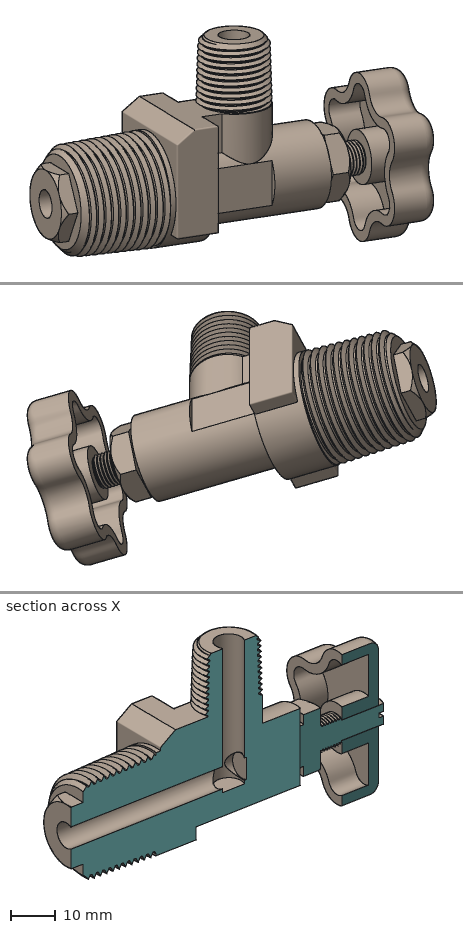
import cadquery as cq
import math


PIPE_TAPER = math.degrees(math.atan(1 / 32))
THREAD_OVERRUN = 0.75
FOOT_DEPTH_FACTOR = 1.15
CORE_SEAM_TURN = 180
ENVELOPE_SEAM_TURN = 90
FLANK_SLOPE = math.tan(math.radians(30))

BARREL_D = 20.1
BARREL_BACK = 19.3
FLAT_BACK = 5.2
OUTLET_D = 17.145
FLAT_WIDTH = OUTLET_D
WEB_WIDTH = 12.2
BLOCK_WIDTH = 28.0
BLOCK_TOP = 17.1
BLOCK_BOTTOM = -8.0
BLOCK_BACK = -10.7
BLOCK_FRONT = -21.1
BLOCK_CHAMFER_Y = 4.3
BLOCK_CHAMFER_Z = 3.0
BLOCK_ROUND = 0.35

INLET_D = 26.67
INLET_COLLAR = 1.3
INLET_END = -43.5
INLET_PITCH = 25.4 / 14
INLET_DEPTH = 1.2
INLET_END_D = 21.6
INLET_PHASE = 0.2

OUTLET_TOP = 33.0
OUTLET_PITCH = 25.4 / 18
OUTLET_DEPTH = 1.0
OUTLET_END_D = 13.4
OUTLET_PHASE = 0.5

INLET_BORE_D = 6.46
OUTLET_BORE_D = 7.07
BORE_OVERSHOOT = 0.2

HEX_FLATS = 15.875
INLET_HEX_HEIGHT = 3.5
GLAND_HEX_HEIGHT = 5.0

NECK_D = 11.27
GLAND_FRONT = 20.2
SPINDLE_D = 7.92
SPINDLE_ROOT_D = 6.79
SPINDLE_PITCH = 25.4 / 32
SPINDLE_PHASE = 0.0
STEM_D = 6.33
OVERALL_LENGTH = 90.35
STEM_BACK = INLET_END - INLET_HEX_HEIGHT + OVERALL_LENGTH
SLOT_WIDTH = 1.1
SLOT_DEPTH = 1.2

WHEEL_FRONT = 31.25
WHEEL_BACK = 42.0
WHEEL_LOBES = 6
WHEEL_R = 19.62
LOBE_R = 5.5
LOBE_CENTER_R = WHEEL_R - LOBE_R
VALLEY_R = 5.5
WHEEL_WALL = 2.5
WHEEL_FLOOR = 3.0
WHEEL_ROUND = 2.6
HUB_D = 12.5

LOBE_ANGLE = 360 / WHEEL_LOBES


def along_y(shape, y, forward):
    """Turn a workplane built along +Z onto the Y axis, growing towards -Y or +Y from y."""
    turn = 90 if forward else -90
    return shape.rotate((0, 0, 0), (1, 0, 0), turn).translate((0, y, 0))


def revolved(points):
    """A solid of revolution about Z, from (radius, z) points."""
    return cq.Workplane("XZ").polyline(points).close().revolve(360, (0, 0, 0), (0, 1, 0))


def threaded_stub(base_d, depth, pitch, length, taper, end_d, phase):
    """A right-hand threaded stub from z = 0 to length with a chamfered end; phase turns its start."""
    base_r = base_d / 2
    shrink = math.tan(math.radians(taper))
    overrun = THREAD_OVERRUN * pitch
    bottom = -overrun - pitch
    top = length + overrun + pitch
    root_r = base_r - depth
    core = revolved([
        (0, bottom), (root_r - bottom * shrink, bottom), (root_r - top * shrink, top), (0, top)
    ])

    crest_r = base_r + overrun * shrink
    foot_depth = FOOT_DEPTH_FACTOR * depth
    foot_half_width = foot_depth * FLANK_SLOPE
    helix_length = length + 2 * overrun
    if taper:
        path = cq.Wire.makeHelix(pitch, helix_length, crest_r, angle=-taper)
    else:
        path = cq.Wire.makeHelix(pitch, helix_length, crest_r)
    ridge = (
        cq.Workplane("XZ")
        .polyline([
            (crest_r, 0), (crest_r - foot_depth, foot_half_width), (crest_r - foot_depth, -foot_half_width)
        ])
        .close()
        .sweep(cq.Workplane(path), isFrenet=True)
        .translate((0, 0, -overrun))
    )

    outer_r = base_r + depth
    end_r = end_d / 2
    chamfer_start = length - (outer_r - end_r)
    envelope = revolved([(0, 0), (outer_r, 0), (outer_r, chamfer_start), (end_r, length), (0, length)])
    core = core.rotate((0, 0, 0), (0, 0, 1), CORE_SEAM_TURN)
    envelope = envelope.rotate((0, 0, 0), (0, 0, 1), ENVELOPE_SEAM_TURN)
    stub = core.union(ridge, clean=False).intersect(envelope, clean=False)
    return stub.rotate((0, 0, 0), (0, 0, 1), phase * 360)


def hexagon(height):
    """A hexagon from z = 0 to height, its corners turned to a cone at the far end."""
    corners = HEX_FLATS / math.cos(math.radians(30))
    corner_cut = (corners - HEX_FLATS) / 2
    prism = cq.Workplane("XY").polygon(6, corners).extrude(height)
    turned = cq.Workplane("XY").circle(corners / 2).extrude(height).faces(">Z").chamfer(corner_cut)
    return prism.intersect(turned)


def block():
    """The rectangular block, sloped along its front top edge, with small rounds on its edges."""
    outline = [
        (BLOCK_BACK, BLOCK_BOTTOM),
        (BLOCK_BACK, BLOCK_TOP),
        (BLOCK_FRONT + BLOCK_CHAMFER_Y, BLOCK_TOP),
        (BLOCK_FRONT, BLOCK_TOP - BLOCK_CHAMFER_Z),
        (BLOCK_FRONT, BLOCK_BOTTOM),
    ]
    return (
        cq.Workplane("YZ")
        .polyline(outline)
        .close()
        .extrude(BLOCK_WIDTH / 2, both=True)
        .faces("<X or >X or <Y or >Y")
        .edges()
        .fillet(BLOCK_ROUND)
    )


def barrel():
    """The round barrel, narrowed by two side flats between the outlet and the block."""
    length = BARREL_BACK - BLOCK_BACK
    round_bar = along_y(cq.Workplane("XY").circle(BARREL_D / 2).extrude(length), BARREL_BACK, True)
    flat_length = FLAT_BACK - BLOCK_BACK
    flats = (
        cq.Workplane("XY")
        .box(BARREL_D, flat_length, BARREL_D)
        .cut(cq.Workplane("XY").box(FLAT_WIDTH, flat_length, BARREL_D))
        .translate((0, (FLAT_BACK + BLOCK_BACK) / 2, 0))
    )
    return round_bar.cut(flats)


def valve_body():
    """The block, barrel, web and boss with both pipe threads, the inlet hexagon and the bores."""
    inlet_start = BLOCK_FRONT - INLET_COLLAR
    inlet_base = along_y(
        cq.Workplane("XY").circle(INLET_D / 2).extrude(BLOCK_BACK - inlet_start), BLOCK_BACK, True
    )
    inlet_thread = threaded_stub(
        INLET_D, INLET_DEPTH, INLET_PITCH, inlet_start - INLET_END, PIPE_TAPER, INLET_END_D, INLET_PHASE
    )
    inlet_hex = hexagon(INLET_HEX_HEIGHT)
    outlet_boss = cq.Workplane("XY").circle(OUTLET_D / 2).extrude(BLOCK_TOP)
    web_end = BLOCK_BACK - 1
    web = (
        cq.Workplane("XY")
        .box(WEB_WIDTH, -web_end, BLOCK_TOP, centered=(True, False, False))
        .translate((0, web_end, 0))
    )
    outlet_thread = threaded_stub(
        OUTLET_D, OUTLET_DEPTH, OUTLET_PITCH, OUTLET_TOP - BLOCK_TOP, PIPE_TAPER, OUTLET_END_D, OUTLET_PHASE
    ).translate((0, 0, BLOCK_TOP))

    body = barrel().union(block()).union(inlet_base).union(outlet_boss).union(web)
    body = body.union(along_y(inlet_thread, inlet_start, True))
    body = body.union(along_y(inlet_hex, INLET_END, True))
    body = body.union(outlet_thread)

    bore_overlap = OUTLET_BORE_D / 2 + BORE_OVERSHOOT
    inlet_bore = along_y(
        cq.Workplane("XY").circle(INLET_BORE_D / 2).extrude(bore_overlap + INLET_HEX_HEIGHT - INLET_END),
        bore_overlap,
        True,
    )
    outlet_bore = (
        cq.Workplane("XY", origin=(0, 0, -bore_overlap))
        .circle(OUTLET_BORE_D / 2)
        .extrude(OUTLET_TOP + bore_overlap)
    )
    return body.cut(inlet_bore).cut(outlet_bore)


def spindle():
    """The gland hexagon with its neck, the threaded spindle and the slotted stem end."""
    neck = along_y(
        cq.Workplane("XY").circle(NECK_D / 2).extrude(GLAND_FRONT - BARREL_BACK), BARREL_BACK, False
    )
    gland = along_y(hexagon(GLAND_HEX_HEIGHT), GLAND_FRONT, False)
    gland_back = GLAND_FRONT + GLAND_HEX_HEIGHT
    depth = (SPINDLE_D - SPINDLE_ROOT_D) / 2
    thread = threaded_stub(
        SPINDLE_D, depth, SPINDLE_PITCH, WHEEL_FRONT - gland_back, 0, SPINDLE_ROOT_D, SPINDLE_PHASE
    )
    stem = along_y(
        cq.Workplane("XY").circle(STEM_D / 2).extrude(STEM_BACK - WHEEL_FRONT), WHEEL_FRONT, False
    )
    slot = cq.Workplane("XY").box(STEM_D, 2 * SLOT_DEPTH, SLOT_WIDTH).translate((0, STEM_BACK, 0))
    return gland.union(neck).union(stem.cut(slot)).union(along_y(thread, gland_back, False))


def lobed_outline(inset):
    """The wavy wheel outline, moved inwards by inset."""
    lobe_r = LOBE_R - inset
    valley_r = VALLEY_R + inset
    half = math.radians(LOBE_ANGLE / 2)
    reach = LOBE_R + VALLEY_R
    valley_center_r = LOBE_CENTER_R * math.cos(half) + math.sqrt(
        reach**2 - (LOBE_CENTER_R * math.sin(half)) ** 2
    )

    def polar(r, angle):
        return (r * math.cos(angle), r * math.sin(angle))

    valley_x, valley_y = polar(valley_center_r, half)
    joint_x = LOBE_CENTER_R + (valley_x - LOBE_CENTER_R) * lobe_r / reach
    joint_y = valley_y * lobe_r / reach
    joint_r = math.hypot(joint_x, joint_y)
    joint_angle = math.atan2(joint_y, joint_x)

    first_lobe = math.radians(90)
    outline = cq.Workplane("XY").moveTo(*polar(joint_r, first_lobe - joint_angle))
    for i in range(WHEEL_LOBES):
        lobe = first_lobe + 2 * half * i
        outline = outline.threePointArc(
            polar(LOBE_CENTER_R + lobe_r, lobe), polar(joint_r, lobe + joint_angle)
        )
        outline = outline.threePointArc(
            polar(valley_center_r - valley_r, lobe + half),
            polar(joint_r, lobe + 2 * half - joint_angle),
        )
    return outline.close()


def handwheel():
    """The hollow lobed wheel with its rounded back edge, hub and bore."""
    depth = WHEEL_BACK - WHEEL_FRONT
    rim = lobed_outline(0).extrude(depth).faces(">Z").edges().fillet(WHEEL_ROUND)
    hollow = lobed_outline(WHEEL_WALL).extrude(depth - WHEEL_FLOOR)
    hub = cq.Workplane("XY").circle(HUB_D / 2).extrude(depth - WHEEL_FLOOR)
    bore = cq.Workplane("XY").circle(STEM_D / 2).extrude(depth)
    return along_y(rim.cut(hollow).union(hub).cut(bore), WHEEL_FRONT, False)


body = valve_body()
stem_assembly = spindle()
wheel = handwheel()
result = cq.Compound.makeCompound([body.val(), stem_assembly.val(), wheel.val()])